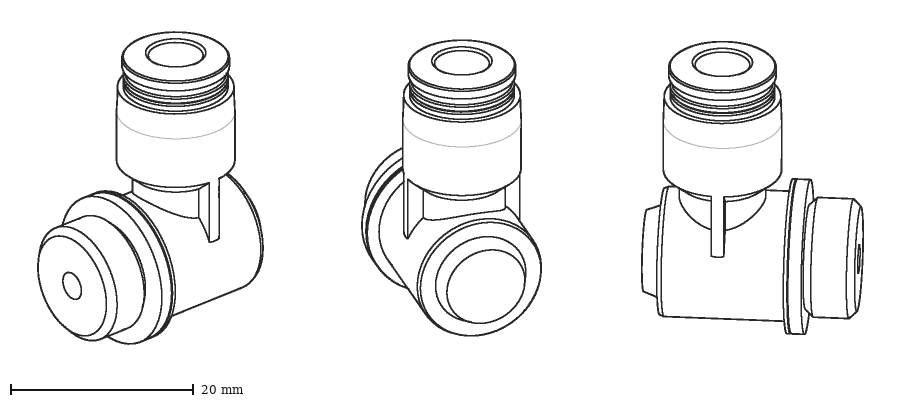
import cadquery as cq


thread_end_y = -15.0
thread_dia = 13.16
thread_root_dia = 11.5
thread_lead = (thread_dia - thread_root_dia) / 2
thread_start_y = -10.25
flange_dia = 17.0
flange_front_y = -9.35
flange_rear_y = -7.4
flange_groove_dia = 16.9
flange_groove_width = 0.1
flange_groove_y = -7.9
barrel_dia = 14.3
barrel_rear_y = 6.65
barrel_chamfer_length = 0.5
barrel_chamfer_depth = 0.2
boss_base_dia = 10.4
boss_tip_dia = 9.0
boss_tip_y = 8.5

overall_height = 32.2
collar_top_z = overall_height - flange_dia / 2
neck_dia = 9.5
cone_bottom_z = 8.95
socket_dia = 13.0
socket_bottom_z = 10.45
taper_bottom_z = 16.5
socket_top_dia = 12.8
socket_top_z = 19.5
ring_dia = 11.5
ring_edge = 0.2
ring_groove_z = 20.3
ring_top_z = 21.2
collar_neck_dia = 8.1
collar_dia = 11.8
collar_bottom_z = 22.1
collar_neck_chamfer = 0.2
collar_rim_drop = 0.45
collar_rim_dia = 11.5
collar_rim_height = 0.2

rib_thickness = 1.4
rib_bottom_z = 2.5

tube_dia = 6.0
tube_mouth_chamfer = 0.3
tube_stop_z = cone_bottom_z
flow_dia = 3.1


def barrel():
    """Threaded stud, flange, barrel and rear boss, turned about the Y axis."""
    groove_rear_y = flange_groove_y + flange_groove_width
    profile = [
        (0, thread_end_y),
        (thread_root_dia / 2, thread_end_y),
        (thread_dia / 2, thread_end_y + thread_lead),
        (thread_dia / 2, thread_start_y),
        (thread_root_dia / 2, flange_front_y),
        (flange_dia / 2, flange_front_y),
        (flange_dia / 2, flange_groove_y),
        (flange_groove_dia / 2, flange_groove_y),
        (flange_groove_dia / 2, groove_rear_y),
        (flange_dia / 2, groove_rear_y),
        (flange_dia / 2, flange_rear_y),
        (barrel_dia / 2, flange_rear_y),
        (barrel_dia / 2, barrel_rear_y - barrel_chamfer_length),
        (barrel_dia / 2 - barrel_chamfer_depth, barrel_rear_y),
        (boss_base_dia / 2, barrel_rear_y),
        (boss_tip_dia / 2, boss_tip_y),
        (0, boss_tip_y),
    ]
    return cq.Workplane("XY").polyline(profile).close().revolve(360, (0, 0), (0, 1))


def socket():
    """Neck, tapered socket, grooved ring and release collar, turned about the Z axis."""
    mouth_radius = tube_dia / 2 + tube_mouth_chamfer
    rim_z = collar_top_z - collar_rim_drop
    profile = [
        (0, 0),
        (neck_dia / 2, 0),
        (neck_dia / 2, cone_bottom_z),
        (socket_dia / 2, socket_bottom_z),
        (socket_dia / 2, taper_bottom_z),
        (socket_top_dia / 2, socket_top_z),
        (ring_dia / 2, socket_top_z),
        (ring_dia / 2, ring_groove_z - ring_edge),
        (ring_dia / 2 - ring_edge, ring_groove_z),
        (ring_dia / 2, ring_groove_z + ring_edge),
        (ring_dia / 2, ring_top_z - ring_edge),
        (ring_dia / 2 - ring_edge, ring_top_z),
        (collar_neck_dia / 2, ring_top_z),
        (collar_neck_dia / 2, collar_bottom_z - collar_neck_chamfer),
        (collar_neck_dia / 2 + collar_neck_chamfer, collar_bottom_z),
        (collar_dia / 2, collar_bottom_z),
        (collar_dia / 2, rim_z - collar_rim_height),
        (collar_rim_dia / 2, rim_z),
        (mouth_radius, collar_top_z),
        (0, collar_top_z),
    ]
    return cq.Workplane("XZ").polyline(profile).close().revolve(360, (0, 0), (0, 1))


def rib():
    """Flat web across the neck, with ends that continue the socket wall down to the barrel."""
    height = socket_bottom_z - rib_bottom_z
    slab = cq.Workplane("XY").box(socket_dia, rib_thickness, height, centered=(True, True, False))
    envelope = cq.Workplane("XY").circle(socket_dia / 2).extrude(height)
    return slab.intersect(envelope).translate((0, 0, rib_bottom_z))


def tube_bore():
    """Tube seat with a chamfered mouth."""
    profile = [
        (0, tube_stop_z),
        (tube_dia / 2, tube_stop_z),
        (tube_dia / 2, collar_top_z - tube_mouth_chamfer),
        (tube_dia / 2 + tube_mouth_chamfer, collar_top_z),
        (0, collar_top_z),
    ]
    return cq.Workplane("XZ").polyline(profile).close().revolve(360, (0, 0), (0, 1))


def flow_passage():
    """Elbow passage: a vertical and a horizontal bore meeting in a spherical corner."""
    radius = flow_dia / 2
    vertical = cq.Workplane("XY").circle(radius).extrude(tube_stop_z)
    horizontal = cq.Workplane("XZ").circle(radius).extrude(-thread_end_y)
    return vertical.union(horizontal).union(cq.Workplane("XY").sphere(radius))


body = barrel().union(socket()).union(rib())
result = body.cut(tube_bore()).cut(flow_passage())